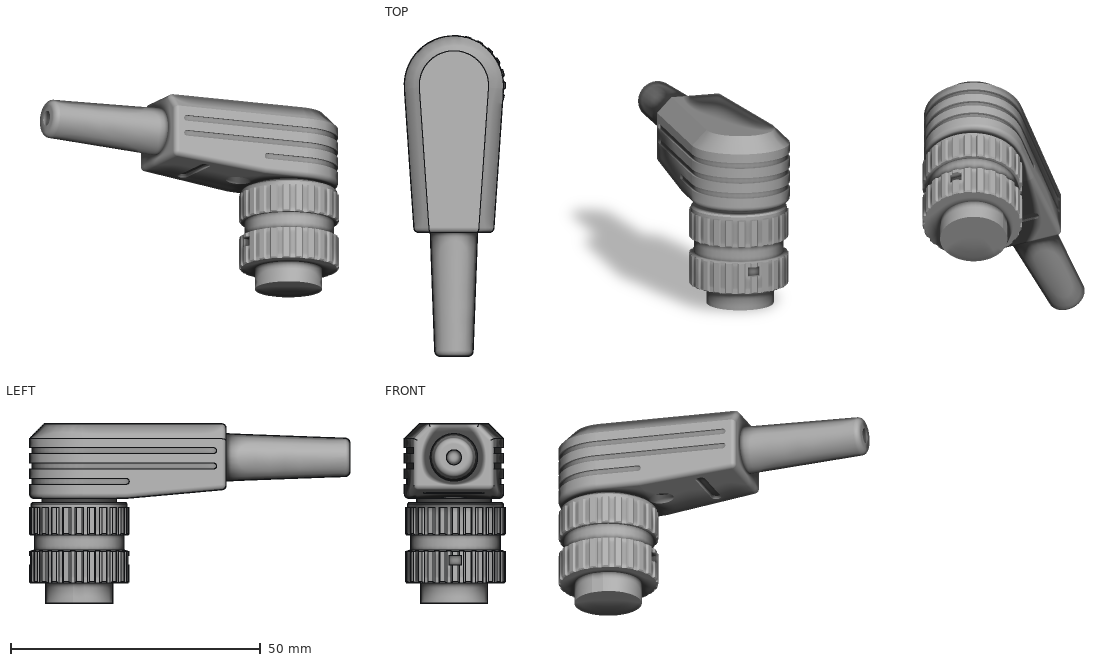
import cadquery as cq
import math

LENGTH = 64.3

BACK_RADIUS = 9.95
HOUSING_HEIGHT = 15.0
END_Y = -29.45
END_HALF_WIDTH = 8.0
TOP_CHAMFER = 3.0
EDGE_ROUND = 0.95

SLOPE_START_Y = -9.45
SLOPE_RISE = 1.8
SCREW_Y = -11.25
SCREW_RECESS_DIAMETER = 5.0
SCREW_RECESS_TOP = 1.9
SLOT_Y = -21.2
SLOT_LENGTH = 12.1
SLOT_WIDTH = 1.9
SLOT_TOP = 1.75

GROOVE_WIDTH = 1.15
GROOVE_DEPTH = 0.48
GROOVE_PITCH = 3.1
LOW_GROOVE_Z = 3.4
LONG_GROOVE_END_Y = -27.5
SHORT_GROOVE_END_Y = -10.0

SLEEVE_Z = 8.2
SLEEVE_BASE_DIAMETER = 9.5
SLEEVE_TIP_DIAMETER = 7.65
SLEEVE_ROUND = 1.15
CABLE_HOLE_DIAMETER = 3.0
CABLE_HOLE_DEPTH = 1.9

NECK_DIAMETER = 15.0
MATING_DIAMETER = 13.5
MATING_BOTTOM = -21.0
FLAT_WIDTH = 2.3

NUT_OFFSET_X = 0.29
BAND_DIAMETER = 18.0
NUT_ROOT_DIAMETER = 19.2
RIB_DIAMETER = 20.0
RIB_COUNT = 24
RIB_BASE_WIDTH = 1.7
RIB_TIP_WIDTH = 1.1
RIB_BOTTOM_CHAMFER = 0.25
NUT_TOP = -0.8
NUT_TOP_CHAMFER = 0.3
UPPER_RIB_TOP = -1.8
UPPER_NUT_BOTTOM = -7.3
LOWER_NUT_TOP = -10.35
LOWER_NUT_BOTTOM = -16.9
LOWER_NUT_CONE_DROP = 0.3

POCKET_WIDTH = 2.5
POCKET_HEIGHT = 1.9
POCKET_TOP = -11.45
POCKET_FLOOR_DIAMETER = 17.1

OVERLAP = 0.65

END_CORNER_DISTANCE = math.hypot(END_HALF_WIDTH, END_Y)
END_CORNER_ANGLE = math.atan2(END_HALF_WIDTH, -END_Y)
SIDE_TAPER = math.asin(BACK_RADIUS / END_CORNER_DISTANCE) - END_CORNER_ANGLE
TIP_Y = RIB_DIAMETER / 2 - LENGTH


def cylinder(diameter, bottom, top):
    return cq.Workplane("XY", origin=(0, 0, bottom)).circle(diameter / 2).extrude(top - bottom)


def housing_plan(inset, end_y, bottom, height):
    """Housing outline moved inward by inset, cut off at end_y and extruded upward."""
    radius = BACK_RADIUS - inset
    tangent_x = radius * math.cos(SIDE_TAPER)
    tangent_y = -radius * math.sin(SIDE_TAPER)
    end_x = tangent_x - (tangent_y - end_y) * math.tan(SIDE_TAPER)
    return (
        cq.Workplane("XY", origin=(0, 0, bottom))
        .moveTo(-end_x, end_y)
        .lineTo(-tangent_x, tangent_y)
        .threePointArc((0, radius), (tangent_x, tangent_y))
        .lineTo(end_x, end_y)
        .close()
        .extrude(height)
    )


def housing():
    body = housing_plan(0, END_Y, 0, HOUSING_HEIGHT)
    body = body.faces(">Z").edges("not <Y").chamfer(TOP_CHAMFER)
    slope = (
        cq.Workplane("YZ")
        .polyline([(SLOPE_START_Y, 0), (END_Y, 0), (END_Y, SLOPE_RISE)])
        .close()
        .extrude(BACK_RADIUS, both=True)
    )
    body = body.cut(slope)
    end_edges = body.faces("<Y").edges().vals()
    low_region = cq.selectors.BoxSelector(
        (-BACK_RADIUS, END_Y + OVERLAP, -OVERLAP),
        (BACK_RADIUS, BACK_RADIUS, SLOPE_RISE),
    )
    low_edges = body.edges(low_region).edges("not |X").vals()
    return body.newObject(end_edges + low_edges).fillet(EDGE_ROUND)


def screw_recess():
    return cylinder(SCREW_RECESS_DIAMETER, -OVERLAP, SCREW_RECESS_TOP).translate((0, SCREW_Y, 0))


def cross_slot():
    return cq.Workplane("XY", origin=(0, SLOT_Y, 0)).slot2D(SLOT_LENGTH, SLOT_WIDTH).extrude(SLOT_TOP)


def grip_groove(center_z, end_y):
    """Groove around the back and both sides, with round ends at end_y."""
    half_width = GROOVE_WIDTH / 2
    end_center_y = end_y + half_width
    band = housing_plan(-OVERLAP, end_center_y, center_z - half_width, GROOVE_WIDTH)
    round_ends = (
        cq.Workplane("YZ", origin=(0, end_center_y, center_z))
        .circle(half_width)
        .extrude(BACK_RADIUS + OVERLAP, both=True)
    )
    core = housing_plan(GROOVE_DEPTH, END_Y, 0, HOUSING_HEIGHT)
    return band.union(round_ends).cut(core)


def sleeve():
    root_y = END_Y + OVERLAP
    base_radius = SLEEVE_BASE_DIAMETER / 2
    tip_radius = SLEEVE_TIP_DIAMETER / 2
    profile = [(0, root_y), (0, TIP_Y), (tip_radius, TIP_Y), (base_radius, END_Y), (base_radius, root_y)]
    blank = cq.Workplane("XY").polyline(profile).close().revolve(360, (0, 0), (0, 1))
    blank = blank.faces("<Y").edges().fillet(SLEEVE_ROUND)
    hole = (
        cq.Workplane("XZ", origin=(0, TIP_Y, 0))
        .circle(CABLE_HOLE_DIAMETER / 2)
        .extrude(-CABLE_HOLE_DEPTH)
    )
    return blank.cut(hole).translate((0, 0, SLEEVE_Z))


def neck():
    return cylinder(NECK_DIAMETER, NUT_TOP - OVERLAP, OVERLAP)


def mating_end():
    """Plain cylinder with a narrow flat on its -X side."""
    radius = MATING_DIAMETER / 2
    flat_x = -math.sqrt(radius**2 - (FLAT_WIDTH / 2) ** 2)
    height = LOWER_NUT_BOTTOM - MATING_BOTTOM
    cutter = (
        cq.Workplane("XY", origin=(flat_x - OVERLAP / 2, 0, MATING_BOTTOM))
        .rect(OVERLAP, MATING_DIAMETER)
        .extrude(height)
    )
    return cylinder(MATING_DIAMETER, MATING_BOTTOM, LOWER_NUT_BOTTOM).cut(cutter)


def rib(bottom, top):
    """One rib on the +X side, with sloping flanks and a chamfered foot."""
    root_radius = NUT_ROOT_DIAMETER / 2
    tip_radius = RIB_DIAMETER / 2
    inner_radius = root_radius - OVERLAP
    base_half = RIB_BASE_WIDTH / 2
    tip_half = RIB_TIP_WIDTH / 2
    return (
        cq.Workplane("XY", origin=(0, 0, bottom))
        .moveTo(inner_radius, -base_half)
        .lineTo(root_radius, -base_half)
        .lineTo(tip_radius, -tip_half)
        .lineTo(tip_radius, tip_half)
        .lineTo(root_radius, base_half)
        .lineTo(inner_radius, base_half)
        .close()
        .extrude(top - bottom)
        .faces(">X")
        .edges("<Z")
        .chamfer(RIB_BOTTOM_CHAMFER)
    )


def ribbed_ring(bottom, top, rib_top):
    ring = cylinder(NUT_ROOT_DIAMETER, bottom, top)
    for i in range(RIB_COUNT):
        angle = i * 360 / RIB_COUNT
        ring = ring.union(rib(bottom, rib_top).rotate((0, 0, 0), (0, 0, 1), angle))
    return ring


def lower_nut():
    """Ribbed ring with a shallow conical top and two marker pockets."""
    band_radius = BAND_DIAMETER / 2
    tip_radius = math.hypot(RIB_DIAMETER, RIB_TIP_WIDTH) / 2
    cone_bottom = LOWER_NUT_TOP - LOWER_NUT_CONE_DROP
    envelope = (
        cq.Workplane("XZ")
        .polyline(
            [
                (0, LOWER_NUT_BOTTOM),
                (tip_radius, LOWER_NUT_BOTTOM),
                (tip_radius, cone_bottom),
                (band_radius, LOWER_NUT_TOP),
                (0, LOWER_NUT_TOP),
            ]
        )
        .close()
        .revolve(360, (0, 0), (0, 1))
    )
    pockets = (
        cq.Workplane("XY", origin=(0, 0, POCKET_TOP - POCKET_HEIGHT))
        .rect(POCKET_WIDTH, RIB_DIAMETER + OVERLAP)
        .extrude(POCKET_HEIGHT)
        .cut(cylinder(POCKET_FLOOR_DIAMETER, LOWER_NUT_BOTTOM, LOWER_NUT_TOP))
    )
    ring = ribbed_ring(LOWER_NUT_BOTTOM, LOWER_NUT_TOP, LOWER_NUT_TOP)
    return ring.intersect(envelope).cut(pockets)


def upper_nut():
    ring = ribbed_ring(UPPER_NUT_BOTTOM, NUT_TOP, UPPER_RIB_TOP)
    return ring.faces(">Z").edges().chamfer(NUT_TOP_CHAMFER)


def coupling():
    band = cylinder(BAND_DIAMETER, LOWER_NUT_TOP, UPPER_NUT_BOTTOM)
    return upper_nut().union(band).union(lower_nut()).translate((NUT_OFFSET_X, 0, 0))


body = housing().cut(screw_recess()).cut(cross_slot())
body = body.cut(grip_groove(LOW_GROOVE_Z, SHORT_GROOVE_END_Y))
for step in (1, 2):
    body = body.cut(grip_groove(LOW_GROOVE_Z + step * GROOVE_PITCH, LONG_GROOVE_END_Y))
result = body.union(sleeve()).union(neck()).union(coupling()).union(mating_end())